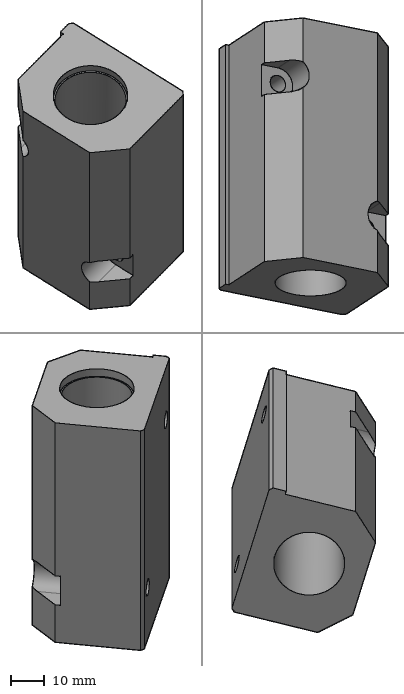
import cadquery as cq

width = 43.0
depth = 35.0
height = 76.0
front_y = -17.0
back_y = front_y + depth
right_x = width / 2
lip_x = -width / 2

lip_overhang = 1.1
lip_length = 5.0
back_chamfer = 1.0
front_chamfer = 8.4
left_x = lip_x + lip_overhang

bore_diameter = 21.0
counterbore_diameter = 22.0
counterbore_depth = 2.6

screw_diameter = 5.2
screw_offset_x = 15.0
screw_end_distance = 18.0
pocket_radius = 5.0
pocket_depth = 10.0


def make_block():
    """Extrude the outline with its side lip and chamfered corners."""
    outline = [
        (left_x + front_chamfer, front_y),
        (right_x - front_chamfer, front_y),
        (right_x, front_y + front_chamfer),
        (right_x, back_y - back_chamfer),
        (right_x - back_chamfer, back_y),
        (lip_x + back_chamfer, back_y),
        (lip_x, back_y - back_chamfer),
        (lip_x, back_y - lip_length),
        (left_x, back_y - lip_length),
        (left_x, front_y + front_chamfer),
    ]
    return cq.Workplane("XY").polyline(outline).close().extrude(height)


def cylinder_z(diameter, bottom, length):
    """Cylinder on the bore axis."""
    return cq.Workplane("XY", origin=(0, 0, bottom)).circle(diameter / 2).extrude(length)


def make_screw_cut(side, z):
    """Through hole along Y and its round-ended pocket; side is -1 for left, 1 for right."""
    x = side * screw_offset_x
    run_out = width / 2
    plane = cq.Workplane("XZ", origin=(x, front_y, z))
    hole = plane.circle(screw_diameter / 2).extrude(-depth)
    round_end = plane.circle(pocket_radius).extrude(-pocket_depth)
    open_end = (
        plane.center(side * run_out / 2, 0)
        .rect(run_out, 2 * pocket_radius)
        .extrude(-pocket_depth)
    )
    return hole.union(round_end).union(open_end)


result = make_block().cut(cylinder_z(bore_diameter, 0, height))
result = result.cut(cylinder_z(counterbore_diameter, height - counterbore_depth, counterbore_depth))
result = result.cut(make_screw_cut(-1, height - screw_end_distance))
result = result.cut(make_screw_cut(1, screw_end_distance))